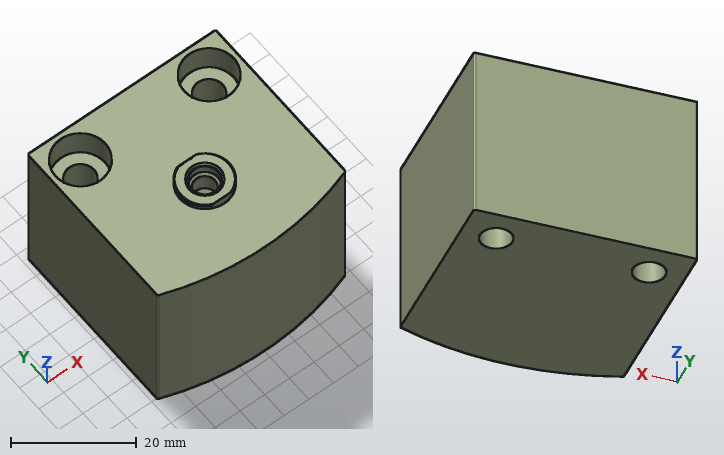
import cadquery as cq
import math

WIDTH = 38.0
DEPTH = 37.0
BOSS_HEIGHT = 1.0
BLOCK_HEIGHT = 32.1 - BOSS_HEIGHT
BOW = 3.35
CORNER_RADIUS = 0.3
BACK_Y = DEPTH / 2
FRONT_CORNER_Y = -DEPTH / 2 + BOW

MOUNT_SPACING = 26.0
MOUNT_FROM_BACK = 6.0
MOUNT_DIAMETER = 5.5
COUNTERBORE_DIAMETER = 10.0
COUNTERBORE_DEPTH = 5.7

INSERT_DIAMETER = 10.0
INSERT_FROM_BACK = 21.55
INSERT_Y = BACK_Y - INSERT_FROM_BACK
INSERT_SUNK_DEPTH = 10.0
FLATS_WIDTH = 9.0
HEAD_CHAMFER = 0.2

MOUTH_DIAMETER = 6.25
LEDGE_DIAMETER = 5.5
BORE_DIAMETER = 5.3
BORE_DEPTH = 2.0
DRILL_DIAMETER = 4.15
DRILL_DEPTH = 6.0
STEP_CONE_HEIGHT = 0.38
DRILL_POINT_ANGLE = 118.0


def make_cylinder(height):
    """Cylinder of the insert's diameter, rising from the bottom of its socket."""
    return (
        cq.Workplane("XY", origin=(0, INSERT_Y, -INSERT_SUNK_DEPTH))
        .circle(INSERT_DIAMETER / 2)
        .extrude(height)
    )


def make_block():
    """Block with a bowed front, two counterbored holes and a socket for the insert."""
    block = (
        cq.Workplane("XY", origin=(0, 0, -BLOCK_HEIGHT))
        .moveTo(-WIDTH / 2, FRONT_CORNER_Y)
        .threePointArc((0, -DEPTH / 2), (WIDTH / 2, FRONT_CORNER_Y))
        .lineTo(WIDTH / 2, BACK_Y)
        .lineTo(-WIDTH / 2, BACK_Y)
        .close()
        .extrude(BLOCK_HEIGHT)
        .edges("|Z")
        .fillet(CORNER_RADIUS)
    )
    mount_y = BACK_Y - MOUNT_FROM_BACK
    mount_points = [(side * MOUNT_SPACING / 2, mount_y) for side in (-1, 1)]
    block = (
        block.faces(">Z")
        .workplane(origin=(0, 0, 0))
        .pushPoints(mount_points)
        .cboreHole(MOUNT_DIAMETER, COUNTERBORE_DIAMETER, COUNTERBORE_DEPTH)
    )
    return block.cut(make_cylinder(INSERT_SUNK_DEPTH))


def make_stepped_hole():
    """Revolved cutter: chamfered mouth, narrow ledge, bore, cone and pointed drill hole."""
    mouth_radius = MOUTH_DIAMETER / 2
    ledge_radius = LEDGE_DIAMETER / 2
    bore_radius = BORE_DIAMETER / 2
    drill_radius = DRILL_DIAMETER / 2
    mouth_chamfer = mouth_radius - ledge_radius
    point_height = drill_radius / math.tan(math.radians(DRILL_POINT_ANGLE / 2))
    return (
        cq.Workplane("XZ", origin=(0, INSERT_Y, BOSS_HEIGHT))
        .lineTo(mouth_radius, 0)
        .lineTo(ledge_radius, -mouth_chamfer)
        .lineTo(bore_radius, -mouth_chamfer)
        .lineTo(bore_radius, -BORE_DEPTH)
        .lineTo(drill_radius, -BORE_DEPTH - STEP_CONE_HEIGHT)
        .lineTo(drill_radius, -DRILL_DEPTH)
        .lineTo(0, -DRILL_DEPTH - point_height)
        .close()
        .revolve(360, (0, 0, 0), (0, 1, 0))
    )


def make_insert():
    """Plug with a chamfered head, two full-length flats and a stepped hole."""
    plug = make_cylinder(INSERT_SUNK_DEPTH + BOSS_HEIGHT).faces(">Z").chamfer(HEAD_CHAMFER)
    flats_band = (
        cq.Workplane("XY", origin=(0, INSERT_Y, -INSERT_SUNK_DEPTH))
        .rect(INSERT_DIAMETER, FLATS_WIDTH)
        .extrude(INSERT_SUNK_DEPTH + BOSS_HEIGHT)
    )
    return plug.intersect(flats_band).cut(make_stepped_hole())


block = make_block()
insert = make_insert()

result = cq.Compound.makeCompound([block.val(), insert.val()])